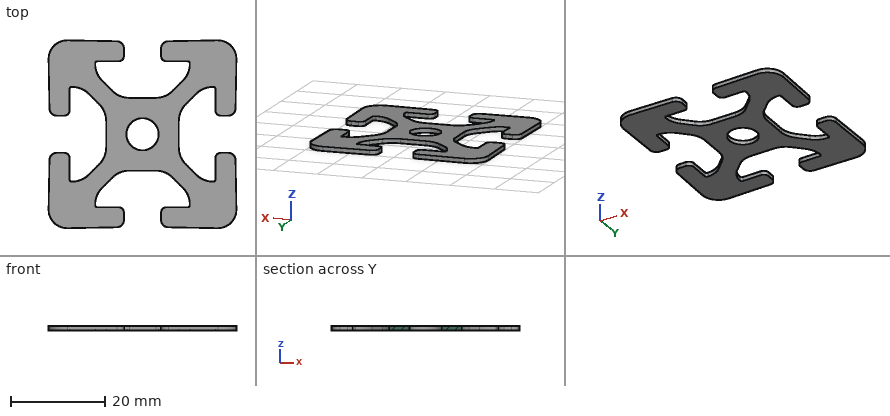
import cadquery as cq
import math

side = 40.0
thickness = 1.0
corner_radius = 4.0
bore_diameter = 6.8

slot_count = 4
slot_mouth_width = 7.85
slot_inner_width = 20.1
slot_floor = 7.75
lip_underside = 15.5
lip_setback = 0.22
web_width = 4.0

lip_outer_radius = 1.6
lip_inner_radius = 1.2
web_radius = 5.0
pocket_corner_radius = 0.4

half = side / 2
edge_flat_end = half - corner_radius
web_offset = web_width / math.sqrt(2)
lip_tip_corner = (slot_mouth_width / 2, half - lip_setback)
lip_under_corner = (slot_mouth_width / 2, lip_underside)
pocket_corner = (slot_inner_width / 2, lip_underside)
web_outer_corner = (slot_inner_width / 2, slot_inner_width / 2 + web_offset)
web_inner_corner = (slot_floor - web_offset, slot_floor)

angle_step = 2 * math.pi / slot_count
angles = [i * angle_step for i in range(slot_count)]


def turned(point, angle):
    """Turn an XY point about the plate centre."""
    x, y = point
    cosine = math.cos(angle)
    sine = math.sin(angle)
    return (x * cosine - y * sine, x * sine + y * cosine)


def mirrored(point):
    return (-point[0], point[1])


def make_sharp_plate():
    """Plate with rounded outer corners and slots that are still sharp-cornered."""
    right_half = [
        (edge_flat_end, half),
        lip_tip_corner,
        lip_under_corner,
        pocket_corner,
        web_outer_corner,
        web_inner_corner,
    ]
    left_half = [mirrored(point) for point in reversed(right_half)]
    arc_reach = edge_flat_end + corner_radius * math.sqrt(0.5)
    arc_middle = (-arc_reach, arc_reach)

    profile = cq.Workplane("XY").moveTo(*right_half[0])
    for angle in angles:
        for point in right_half[1:] + left_half:
            profile = profile.lineTo(*turned(point, angle))
        next_side_start = turned(right_half[0], angle + angle_step)
        profile = profile.threePointArc(turned(arc_middle, angle), next_side_start)
    return profile.close().extrude(thickness)


def round_slot_corner(body, corner, radius):
    """Round the vertical edge at a slot corner, on both halves of every slot."""
    reach = 0.05
    edges = body.newObject([])
    for angle in angles:
        for point in (corner, mirrored(corner)):
            x, y = turned(point, angle)
            box = cq.selectors.BoxSelector(
                (x - reach, y - reach, 0),
                (x + reach, y + reach, thickness),
            )
            edges = edges.add(body.edges(box))
    return edges.fillet(radius)


plate = make_sharp_plate()
plate = round_slot_corner(plate, lip_tip_corner, lip_outer_radius)
plate = round_slot_corner(plate, lip_under_corner, lip_inner_radius)
plate = round_slot_corner(plate, web_outer_corner, web_radius)
plate = round_slot_corner(plate, web_inner_corner, web_radius)
plate = round_slot_corner(plate, pocket_corner, pocket_corner_radius)

bore = cq.Workplane("XY").circle(bore_diameter / 2).extrude(thickness)
result = plate.cut(bore)